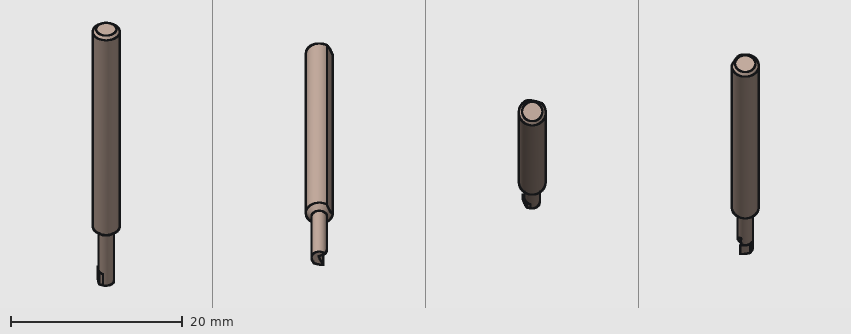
import cadquery as cq

length = 38.1
shank_radius = 1.58
flat_offset = 1.353
neck_radius = 0.9
neck_top = 7.65
shoulder_height = shank_radius - neck_radius
top_chamfer_height = 0.4
top_face_radius = 1.2

tooth_height = 1.8
tip_reach = 1.15
heel_x = -0.42
land_end_x = 0.05
flank_mid = (-0.85, -0.45)

relief_top = 3.0
relief_slope = 0.4
end_clearance = 0.1


def bar():
    """Revolved neck, conical shoulder and shank with a chamfered top."""
    profile = [
        (0, 0),
        (neck_radius, 0),
        (neck_radius, neck_top),
        (shank_radius, neck_top + shoulder_height),
        (shank_radius, length - top_chamfer_height),
        (top_face_radius, length),
        (0, length),
    ]
    return cq.Workplane("XZ").polyline(profile).close().revolve(360, (0, 0, 0), (0, 1, 0))


def shank_flat():
    """Stock beyond the flat that runs along the +Y side of the shank."""
    return cq.Workplane("XY").box(
        2 * shank_radius, shank_radius, length, centered=(True, False, False)
    ).translate((0, flat_offset, 0))


def tooth():
    """Tooth with a curved flank from the tip to a narrow land on the neck."""
    return (
        cq.Workplane("XY")
        .moveTo(-tip_reach, 0)
        .threePointArc(flank_mid, (heel_x, -neck_radius))
        .lineTo(land_end_x, -neck_radius)
        .lineTo(land_end_x, 0)
        .close()
        .extrude(tooth_height)
    )


def chip_relief():
    """Wedge removed on the +Y half, deepening from the neck surface to the end."""
    relief_end_x = -neck_radius + relief_slope * relief_top
    return (
        cq.Workplane("XZ")
        .polyline([(-neck_radius, relief_top), (relief_end_x, 0), (-neck_radius, 0)])
        .close()
        .extrude(-neck_radius)
    )


def end_relief():
    """Shallow wedge that leaves the tip as the lowest point."""
    return (
        cq.Workplane("XZ")
        .polyline([(-tip_reach, 0), (neck_radius, 0), (neck_radius, end_clearance)])
        .close()
        .extrude(neck_radius, both=True)
    )


result = bar().cut(shank_flat()).union(tooth()).cut(chip_relief()).cut(end_relief())